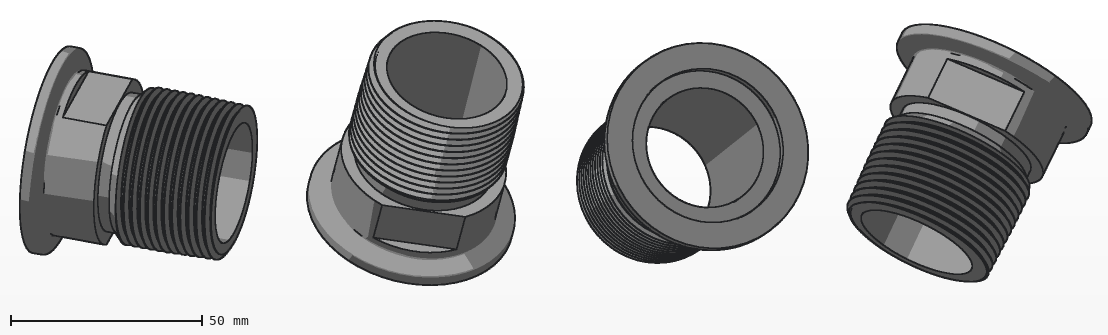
import cadquery as cq
import math

total_length = 50.0
bore_radius = 32.0 / 2

flange_radius = 55 / 2
flange_rim_width = 2.9
flange_back_angle = 15
flange_blend = 0.6
recess_radius = 41.2 / 2
recess_depth = 2.6

collar_radius = 44 / 2
collar_end = 18.6
flat_start = 6.6
across_flats = 38.0
neck_radius = 37.0 / 2
neck_end = 21.65

crest_radius = 21.05
pitch_span = 25.4
threads_per_span = 11.5
thread_pitch = pitch_span / threads_per_span
thread_depth = 1.55
root_width = 0.2
flank_angle = 30
thread_taper = 1 / 32
groove_start = 23.7
straight_turns = 5
cutter_overshoot = 0.1

thread_start = neck_end + crest_radius - neck_radius
taper_start = groove_start + straight_turns * thread_pitch
tapered_turns = math.ceil((total_length - taper_start) / thread_pitch) + 1
end_radius = crest_radius - thread_taper * (total_length - taper_start)
root_radius = crest_radius - thread_depth


def make_body():
    """Revolved outside shape with the flange edges blended."""
    back_slope = math.tan(math.radians(flange_back_angle))
    flange_back = flange_rim_width + (flange_radius - collar_radius) * back_slope
    outline = [
        (0, 0),
        (0, flange_radius),
        (flange_rim_width, flange_radius),
        (flange_back, collar_radius),
        (collar_end, collar_radius),
        (collar_end, neck_radius),
        (neck_end, neck_radius),
        (thread_start, crest_radius),
        (taper_start, crest_radius),
        (total_length, end_radius),
        (total_length, 0),
    ]
    body = cq.Workplane("XY").polyline(outline).close().revolve(360, (0, 0, 0), (1, 0, 0))
    blend_range = cq.selectors.BoxSelector(
        (flange_rim_width / 2, -flange_radius, -flange_radius),
        (flange_back + flange_blend, flange_radius, flange_radius),
        boundingbox=False,
    )
    blend_edges = body.edges("%CIRCLE").edges(blend_range)
    return blend_edges.fillet(flange_blend)


def make_flat_cutters():
    """Blocks that remove the collar beyond the two wrench flats."""
    length = collar_end - flat_start
    height = collar_radius - across_flats / 2
    cutters = cq.Workplane("XY")
    for side in (-1, 1):
        middle = (flat_start + length / 2, 0, side * (across_flats / 2 + height / 2))
        cutters = cutters.add(cq.Workplane("XY").box(length, 2 * collar_radius, height).translate(middle))
    return cutters.combine()


def make_thread_helix(radius, offset, turns, taper):
    """Right-handed helix about Z that starts at height `offset` on the +X side."""
    cone_angle = -math.degrees(math.atan(taper)) if taper else 360
    base = cq.Vector(0, 0, offset)
    return cq.Wire.makeHelix(thread_pitch, turns * thread_pitch, radius, base, angle=cone_angle)


def make_groove(start, turns, taper):
    """V groove winding right-handed along +X from the -Z side, bounded by ruled faces."""
    half_root = root_width / 2
    cutter_depth = thread_depth + cutter_overshoot
    half_mouth = half_root + cutter_depth * math.tan(math.radians(flank_angle))
    profile = [
        (root_radius, -half_root),
        (root_radius + cutter_depth, -half_mouth),
        (root_radius + cutter_depth, half_mouth),
        (root_radius, half_root),
    ]
    helices = [make_thread_helix(radius, offset, turns, taper) for radius, offset in profile]
    faces = [cq.Face.makeRuledSurface(helices[i - 1], helices[i]) for i in range(len(helices))]
    start_points = [helix.startPoint() for helix in helices]
    finish_points = [helix.endPoint() for helix in helices]
    for end_points in (start_points, finish_points):
        faces.append(cq.Face.makeFromWires(cq.Wire.makePolygon(end_points, close=True)))
    groove = cq.Workplane(cq.Solid.makeSolid(cq.Shell.makeShell(faces)))
    return groove.rotate((0, 0, 0), (0, 1, 0), 90).translate((start, 0, 0))


def make_disc(radius, length):
    """Disc on the axis, starting at the flange face."""
    return cq.Workplane("YZ").circle(radius).extrude(length)


result = make_body().cut(make_flat_cutters())
result = result.cut(make_groove(groove_start, straight_turns, 0))
result = result.cut(make_groove(taper_start, tapered_turns, thread_taper))
result = result.cut(make_disc(bore_radius, total_length))
result = result.cut(make_disc(recess_radius, recess_depth))